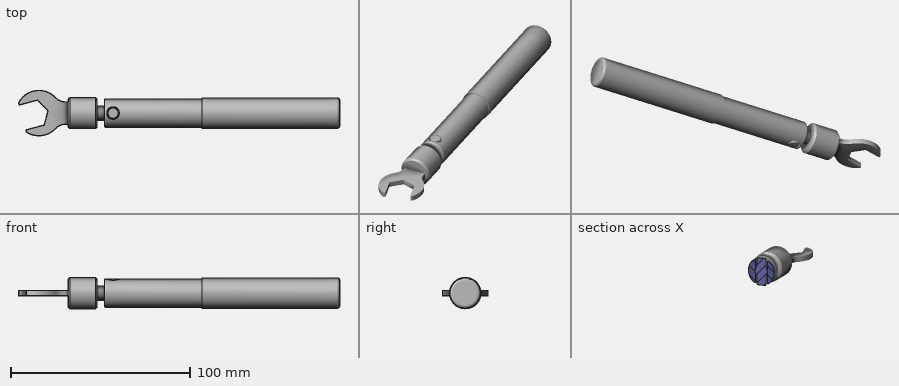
import cadquery as cq
import math


overall_length = 179.28

jaw_radius = 12.7
jaw_thickness = 3.0
hex_across_flats = 14.29
opening_angle = 15.0
hex_offset = 3.05
tip_distance = 9.5
shank_half_width = 6.3
shank_blend_radius = 7.4

collar_start = 16.22
collar_end = 32.5
collar_radius = 17.46 / 2
collar_chamfer = 1.0

handle_start = 36.5
grip_start = 91.0
tip_half_width = math.sqrt(jaw_radius**2 - tip_distance**2)
opening_cos = math.cos(math.radians(opening_angle))
opening_sin = math.sin(math.radians(opening_angle))
tip_reach = tip_distance * opening_cos + tip_half_width * opening_sin
handle_end = overall_length - tip_reach
handle_radius = 7.94
handle_end_fillet = 1.0
grip_radius = 8.5
grip_end_fillet = 1.6

pin_x = 41.35
pin_radius = 2.9
pin_half_length = handle_radius
pin_hole_radius = 3.5

neck_radius = 4.0
neck_end = pin_x + neck_radius


def rod(start, end, radius):
    return cq.Workplane("YZ", origin=(start, 0, 0)).circle(radius).extrude(end - start)


def jaw_plane(x=0.0):
    return cq.Workplane("XY", origin=(x, 0, -jaw_thickness / 2))


def make_jaw_blank():
    blend_y = shank_half_width + shank_blend_radius
    centre_distance = jaw_radius + shank_blend_radius
    blend_x = math.sqrt(centre_distance**2 - blend_y**2)
    touch_x = blend_x * jaw_radius / centre_distance
    touch_y = blend_y * jaw_radius / centre_distance
    touch_angle = math.atan2(-blend_y, -blend_x)
    shank_angle = -math.pi / 2
    mid_angle = (touch_angle + shank_angle) / 2
    mid_x = blend_x + shank_blend_radius * math.cos(mid_angle)
    mid_y = blend_y + shank_blend_radius * math.sin(mid_angle)
    return (
        jaw_plane()
        .moveTo(collar_start, -shank_half_width)
        .lineTo(blend_x, -shank_half_width)
        .threePointArc((mid_x, -mid_y), (touch_x, -touch_y))
        .threePointArc((-jaw_radius, 0), (touch_x, touch_y))
        .threePointArc((mid_x, mid_y), (blend_x, shank_half_width))
        .lineTo(collar_start, shank_half_width)
        .close()
        .extrude(jaw_thickness)
    )


def make_opening():
    hex_diameter = 2 * hex_across_flats / math.sqrt(3)
    jaw_diameter = 2 * jaw_radius
    hexagon = jaw_plane(-hex_offset).polygon(6, hex_diameter).extrude(jaw_thickness)
    mouth = (
        jaw_plane(-hex_offset - jaw_radius)
        .rect(jaw_diameter, hex_across_flats)
        .extrude(jaw_thickness)
    )
    tip_trim = (
        jaw_plane(-tip_distance - jaw_radius)
        .rect(jaw_diameter, jaw_diameter)
        .extrude(jaw_thickness)
    )
    opening = hexagon.union(mouth).union(tip_trim)
    return opening.rotate((0, 0, 0), (0, 0, 1), opening_angle)


def make_neck():
    return rod(collar_end, neck_end, neck_radius)


def pivot_cylinder(radius, half_length):
    base = cq.Workplane("XY", origin=(pin_x, 0, -half_length))
    return base.circle(radius).extrude(2 * half_length)


def make_head():
    jaw = make_jaw_blank().cut(make_opening())
    collar = rod(collar_start, collar_end, collar_radius).edges().chamfer(collar_chamfer)
    pin = pivot_cylinder(pin_radius, pin_half_length)
    return jaw.union(collar).union(make_neck()).union(pin)


def make_handle():
    barrel = rod(handle_start, grip_start, handle_radius)
    barrel = barrel.faces("<X").edges().fillet(handle_end_fillet)
    grip = rod(grip_start, handle_end, grip_radius)
    grip = grip.faces(">X").edges().fillet(grip_end_fillet)
    pin_hole = pivot_cylinder(pin_hole_radius, grip_radius)
    return barrel.union(grip).cut(make_neck()).cut(pin_hole)


head = make_head().solids()
handle = make_handle().solids()
result = cq.Compound.makeCompound([head.val(), handle.val()])